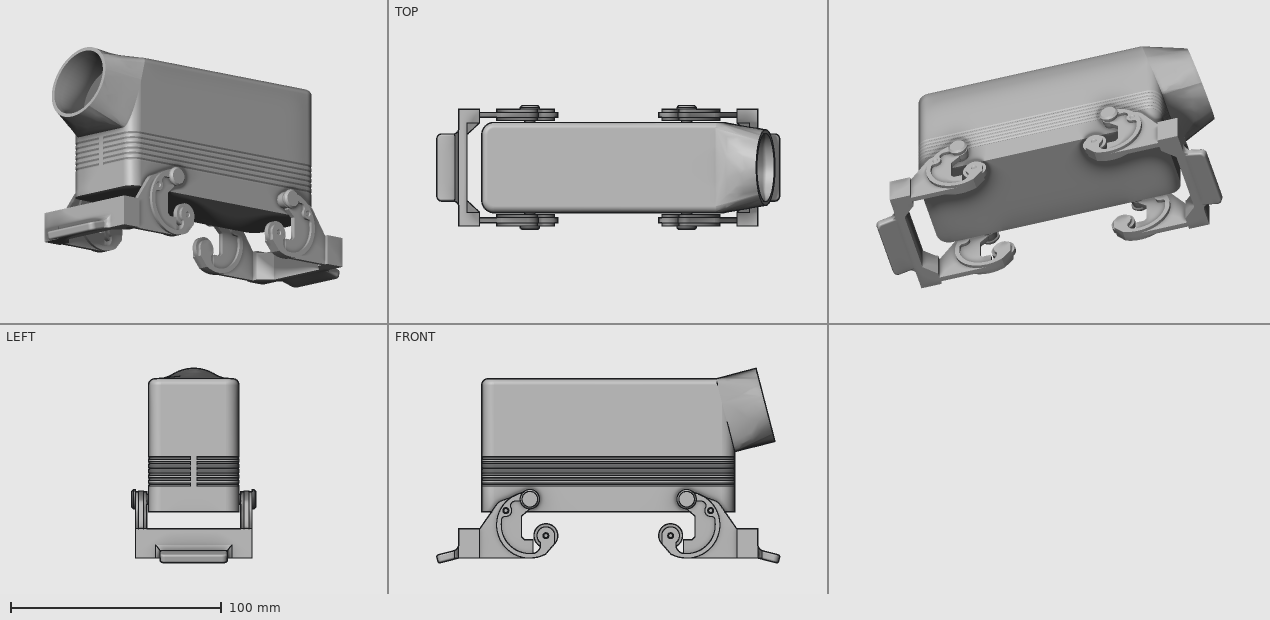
import cadquery as cq
import math


HOOD_LENGTH = 120.2
HOOD_WIDTH = 43.0
HOOD_HEIGHT = 63.2
CORNER_RADIUS = 6.0
TOP_FILLET = 3.0

GROOVE_COUNT = 6
GROOVE_PITCH = 2.5
GROOVE_WIDTH = 1.5
GROOVE_DEPTH = 0.5
GROOVE_BOTTOM = 12.3
GROOVE_GAP = 3.0

OUTLET_TILT = 14.5
OUTLET_START = 28.5
OUTLET_LENGTH = 19.7
OUTLET_DIAMETER = 36.0
OUTLET_BORE = 32.5
OUTLET_SEAMS = (45.0, 57.0, 77.0, 142.0)

BASE_Z = -22.0
BLOCK_OUTER_X = -71.0
BLOCK_LENGTH = 10.0
BLOCK_HEIGHT = 14.0
BLOCK_HALF_WIDTH = 27.75
BAR_THICKNESS = 4.0
ARM_WIDTH = 6.5
GUSSET_WIDTH = 5.6
GUSSET_STEP = 1.0
BLOCK_INNER_X = BLOCK_OUTER_X + BLOCK_LENGTH

TAB_WIDTH = 32.0
TAB_THICKNESS = 4.0
TAB_REACH = 10.48
TAB_TILT = 14.5
TAB_ROOT_Z = -19.91
TAB_CORNER_RADIUS = 2.5
TAB_EDGE_FILLET = 1.0
FLARE_STEPS = ((0.0, 2.1), (0.6, 0.8), (2.0, 0.0))
TAB_OVERLAP = 2.0

LEVER_CENTRE_Y = 25.0
CHEEK_STACK = 2 * (BLOCK_HALF_WIDTH - LEVER_CENTRE_Y)
PLATE_THICKNESS = 2.4
PIVOT_X = -37.2
HOOK_OUTER_RADIUS = 15.8
HOOK_INNER_RADIUS = 13.6
HOOK_Z = BASE_Z + HOOK_OUTER_RADIUS
PIVOT_END_RADIUS = 3.6
PIVOT_BOSS_RADIUS = 4.0
PIVOT_Z = HOOK_Z + HOOK_OUTER_RADIUS - PIVOT_END_RADIUS
ROLLER_X = -29.6
ROLLER_Z = -11.3
ROLLER_RADIUS = 5.7
TIP_RADIUS = 4.2
RIVET_X = -48.6
RIVET_Z = 0.6
RIVET_PAD_RADIUS = 2.8
RIVET_RADIUS = 1.4
RIVET_DEPTH = 0.4
RIVET_TAPER = 45.0
PIN_RADIUS = 2.45
PIN_EMBED = 1.0
KNOB_RADIUS = 4.6
KNOB_HEIGHT = 1.75
KNOB_CHAMFER = 0.9


def polar(x, z, radius, angle):
    """Point at an angle (degrees) on a circle centred on (x, z)."""
    turn = math.radians(angle)
    return (x + radius * math.cos(turn), z + radius * math.sin(turn))


def side_plane(y):
    """Workplane facing -Y at a distance y in front of the centre plane."""
    return cq.Workplane("XZ", origin=(0, -y, 0))


def hood_block():
    body = cq.Workplane("XY").box(HOOD_LENGTH, HOOD_WIDTH, HOOD_HEIGHT, centered=(True, True, False))
    return body.edges("|Z").fillet(CORNER_RADIUS).faces(">Z").edges().fillet(TOP_FILLET)


def groove_cutter():
    """One V-groove ring at z = 0, interrupted at the middle of both hood ends."""
    margin = 2.0
    half = GROOVE_WIDTH / 2
    slope = math.degrees(math.atan2(GROOVE_DEPTH, half))
    outline = cq.Sketch().rect(HOOD_LENGTH, HOOD_WIDTH).vertices().fillet(CORNER_RADIUS)
    lower_core = cq.Workplane("XY").placeSketch(outline).extrude(half, taper=slope)
    upper_core = lower_core.mirror("XY").translate((0, 0, GROOVE_WIDTH))
    slab = cq.Workplane("XY").box(
        HOOD_LENGTH + margin, HOOD_WIDTH + margin, GROOVE_WIDTH, centered=(True, True, False)
    )
    gap = cq.Workplane("XY").box(
        HOOD_LENGTH + margin, GROOVE_GAP, GROOVE_WIDTH, centered=(True, True, False)
    )
    return slab.cut(lower_core).cut(upper_core).cut(gap)


def cut_grooves(body):
    ring = groove_cutter()
    for index in range(GROOVE_COUNT):
        body = body.cut(ring.translate((0, 0, GROOVE_BOTTOM + index * GROOVE_PITCH)))
    return body


def add_outlet(body):
    """Slice the upper right end on a tilted plane and blend it to a round socket."""
    tilt = math.radians(OUTLET_TILT)
    slant_height = (HOOD_HEIGHT - OUTLET_START) / math.cos(tilt)
    half_height = slant_height / 2
    axis = cq.Vector(math.cos(tilt), 0, math.sin(tilt))
    start = cq.Vector(
        HOOD_LENGTH / 2 - half_height * math.sin(tilt),
        0,
        OUTLET_START + half_height * math.cos(tilt),
    )
    end = start + axis * OUTLET_LENGTH
    root = cq.Plane(origin=start, xDir=(0, 1, 0), normal=axis)
    mouth = cq.Plane(origin=end, xDir=(0, 1, 0), normal=axis)

    offcut_size = HOOD_LENGTH
    offcut = cq.Workplane(root).rect(offcut_size, offcut_size).extrude(offcut_size)

    half_width = HOOD_WIDTH / 2
    top_flat = half_width - TOP_FILLET
    bottom_flat = half_width - CORNER_RADIUS
    fillet_rise = TOP_FILLET / math.cos(tilt)
    corner_rise = CORNER_RADIUS / math.sin(tilt)
    top_side = half_height - fillet_rise
    bottom_side = corner_rise - half_height
    section = (
        cq.Workplane(root)
        .moveTo(-top_flat, half_height)
        .lineTo(top_flat, half_height)
        .ellipseArc(TOP_FILLET, fillet_rise, 0, 90, sense=-1)
        .lineTo(half_width, bottom_side)
        .ellipseArc(CORNER_RADIUS, corner_rise, 270, 360, sense=-1)
        .lineTo(-bottom_flat, -half_height)
        .ellipseArc(CORNER_RADIUS, corner_rise, 180, 270, sense=-1)
        .lineTo(-half_width, top_side)
        .ellipseArc(TOP_FILLET, fillet_rise, 90, 180, sense=-1)
        .close()
    )
    first = OUTLET_SEAMS[0]
    stops = list(OUTLET_SEAMS) + [360 - seam for seam in reversed(OUTLET_SEAMS)]
    radius = OUTLET_DIAMETER / 2

    def rim(angle):
        return polar(0, 0, radius, 90 - angle)

    circle = cq.Workplane(mouth).moveTo(*rim(-first))
    previous = -first
    for stop in stops:
        circle = circle.threePointArc(rim((previous + stop) / 2), rim(stop))
        previous = stop
    circle = circle.close()

    blend = cq.Solid.makeLoft([section.val(), circle.val()])
    bore = cq.Workplane(mouth).circle(OUTLET_BORE / 2).extrude(-OUTLET_LENGTH)
    return body.cut(offcut).union(cq.Workplane(blend)).cut(bore)


def end_block():
    arm_inner_y = BLOCK_HALF_WIDTH - ARM_WIDTH
    bar_inner_x = BLOCK_OUTER_X + BAR_THICKNESS
    pocket_depth = BLOCK_INNER_X - bar_inner_x
    block = (
        cq.Workplane("XY", origin=(BLOCK_OUTER_X, 0, BASE_Z))
        .box(BLOCK_LENGTH, 2 * BLOCK_HALF_WIDTH, BLOCK_HEIGHT, centered=(False, True, False))
    )
    pocket = (
        cq.Workplane("XY", origin=(bar_inner_x, 0, BASE_Z))
        .box(pocket_depth, 2 * arm_inner_y, BLOCK_HEIGHT, centered=(False, True, False))
    )
    gusset = (
        cq.Workplane("XY", origin=(0, 0, BASE_Z))
        .moveTo(bar_inner_x, -arm_inner_y)
        .lineTo(BLOCK_INNER_X, -arm_inner_y)
        .lineTo(bar_inner_x, GUSSET_WIDTH - arm_inner_y)
        .close()
        .extrude(BLOCK_HEIGHT - GUSSET_STEP)
    )
    return block.cut(pocket).union(gusset).union(gusset.mirror("XZ"))


def thumb_tab():
    """Rounded tab leaning down and outwards, flared where it leaves the block."""
    tab = (
        cq.Workplane("XY")
        .box(TAB_REACH + TAB_OVERLAP, TAB_WIDTH, TAB_THICKNESS, centered=(False, True, True))
        .translate((-TAB_REACH, 0, 0))
    )
    tab = tab.edges("|Z and <X").fillet(TAB_CORNER_RADIUS)
    tab = tab.faces("<Z or >Z").edges("not >X").fillet(TAB_EDGE_FILLET)
    tab = tab.rotate((0, 0, 0), (0, 1, 0), -TAB_TILT)
    tab = tab.translate((BLOCK_OUTER_X, 0, TAB_ROOT_Z))
    slope = math.tan(math.radians(TAB_TILT))
    tab_top = TAB_ROOT_Z + TAB_THICKNESS / 2
    flare = cq.Workplane("YZ", origin=(BLOCK_OUTER_X, 0, BASE_Z))
    previous = 0
    for distance, spread in FLARE_STEPS:
        height = tab_top - distance * slope + spread - BASE_Z
        flare = flare.workplane(offset=previous - distance)
        flare = flare.moveTo(0, height / 2).rect(TAB_WIDTH + 2 * spread, height)
        previous = distance
    return tab.union(flare.loft())


def lever_plate():
    """Middle plate from the end block to the pivot, with the catch opening."""
    catch_x = -41.1
    catch_top = -2.05
    catch_floor = -13.2
    catch_chamfer = 1.35
    nose_x = -35.65
    lead_in_z = 1.35
    shoulder_start = (-53.4, 2.9)
    shoulder_middle = (-52.3, 4.2)
    shoulder_end = (-50.9, 5.15)
    boss_angle = 118
    root_x = BLOCK_INNER_X - BAR_THICKNESS
    block_top = BASE_Z + BLOCK_HEIGHT
    return (
        side_plane(LEVER_CENTRE_Y - PLATE_THICKNESS / 2)
        .moveTo(root_x, BASE_Z)
        .lineTo(root_x, block_top)
        .lineTo(BLOCK_INNER_X, block_top)
        .lineTo(*shoulder_start)
        .threePointArc(shoulder_middle, shoulder_end)
        .lineTo(*polar(PIVOT_X, PIVOT_Z, PIVOT_BOSS_RADIUS, boss_angle))
        .lineTo(PIVOT_X, PIVOT_Z)
        .lineTo(PIVOT_X, lead_in_z)
        .lineTo(catch_x, catch_top)
        .lineTo(catch_x, catch_floor + catch_chamfer)
        .lineTo(catch_x + catch_chamfer, catch_floor)
        .lineTo(nose_x, catch_floor)
        .lineTo(nose_x, HOOK_Z - HOOK_INNER_RADIUS)
        .lineTo(PIVOT_X, BASE_Z)
        .close()
        .extrude(PLATE_THICKNESS)
    )


def hook_outline(plane):
    """C-shaped hook from the pivot, round the left side, to the roller tip."""
    outer_end = -62
    arm_end = -45
    tip_start = -15
    tip_end = 230
    inner_start = -83
    inner_end = 171
    pad_start = 258
    pad_end = 400
    inner_side = 225
    neck_drop = 0.9
    neck_z = PIVOT_Z - neck_drop
    neck_x = -44.0
    throat_bend = (-32.6, -17.5)
    below_pad_bend = (-50.3, -2.8)
    above_pad_bend = (-45.6, 4.5)

    def outer(angle):
        return polar(PIVOT_X, HOOK_Z, HOOK_OUTER_RADIUS, angle)

    def inner(angle):
        return polar(PIVOT_X, HOOK_Z, HOOK_INNER_RADIUS, angle)

    def tip(angle):
        return polar(ROLLER_X, ROLLER_Z, TIP_RADIUS, angle)

    def pad(angle):
        return polar(RIVET_X, RIVET_Z, RIVET_PAD_RADIUS, angle)

    return (
        plane.moveTo(*outer(90))
        .threePointArc(outer(180), outer(270))
        .threePointArc(outer((outer_end - 90) / 2), outer(outer_end))
        .lineTo(*polar(ROLLER_X, ROLLER_Z, ROLLER_RADIUS, arm_end))
        .lineTo(*tip(tip_start))
        .threePointArc(tip((tip_start + tip_end) / 2), tip(tip_end))
        .threePointArc(throat_bend, inner(inner_start))
        .threePointArc(inner(inner_side), inner(inner_end))
        .threePointArc(below_pad_bend, pad(pad_start))
        .threePointArc(pad((pad_start + pad_end) / 2), pad(pad_end))
        .threePointArc(above_pad_bend, (neck_x, neck_z))
        .lineTo(PIVOT_X, neck_z)
        .close()
    )


def plate_disc(x, z, radius):
    """Disc as thick as the middle plate and lying in the same layer."""
    return (
        side_plane(LEVER_CENTRE_Y - PLATE_THICKNESS / 2)
        .center(x, z)
        .circle(radius)
        .extrude(PLATE_THICKNESS)
    )


def lever_side():
    """Plate, cheeks, roller, rivets and pivot pin on the -Y side."""
    inner_y = LEVER_CENTRE_Y - CHEEK_STACK / 2
    side = hook_outline(side_plane(inner_y)).extrude(CHEEK_STACK)
    slot = (
        side_plane(LEVER_CENTRE_Y - PLATE_THICKNESS / 2)
        .moveTo(PIVOT_X, HOOK_Z)
        .rect(-HOOK_OUTER_RADIUS, HOOK_OUTER_RADIUS, centered=False)
        .extrude(PLATE_THICKNESS)
    )
    pivot_end = side_plane(inner_y).center(PIVOT_X, PIVOT_Z).circle(PIVOT_END_RADIUS).extrude(CHEEK_STACK)
    roller = plate_disc(ROLLER_X, ROLLER_Z, ROLLER_RADIUS)
    pivot_boss = plate_disc(PIVOT_X, PIVOT_Z, PIVOT_BOSS_RADIUS)
    pin_start = HOOD_WIDTH / 2 - PIN_EMBED
    pin = (
        side_plane(pin_start)
        .center(PIVOT_X, PIVOT_Z)
        .circle(PIN_RADIUS)
        .extrude(inner_y + PIN_EMBED - pin_start)
    )
    knob = (
        side_plane(BLOCK_HALF_WIDTH)
        .center(PIVOT_X, PIVOT_Z)
        .circle(KNOB_RADIUS)
        .extrude(KNOB_HEIGHT)
        .faces("<Y")
        .chamfer(KNOB_CHAMFER)
    )
    rivet_marks = (
        side_plane(BLOCK_HALF_WIDTH)
        .pushPoints([(RIVET_X, RIVET_Z), (ROLLER_X, ROLLER_Z)])
        .circle(RIVET_RADIUS)
        .extrude(-RIVET_DEPTH, taper=RIVET_TAPER)
    )
    side = side.cut(slot).union(pivot_end).union(lever_plate()).union(roller).union(pivot_boss)
    return side.union(pin).union(knob).cut(rivet_marks)


def lever():
    side = lever_side()
    return end_block().union(thumb_tab()).union(side).union(side.mirror("XZ"))


hood = add_outlet(cut_grooves(hood_block()))
left_lever = lever()
result = hood.union(left_lever).union(left_lever.mirror("YZ"))